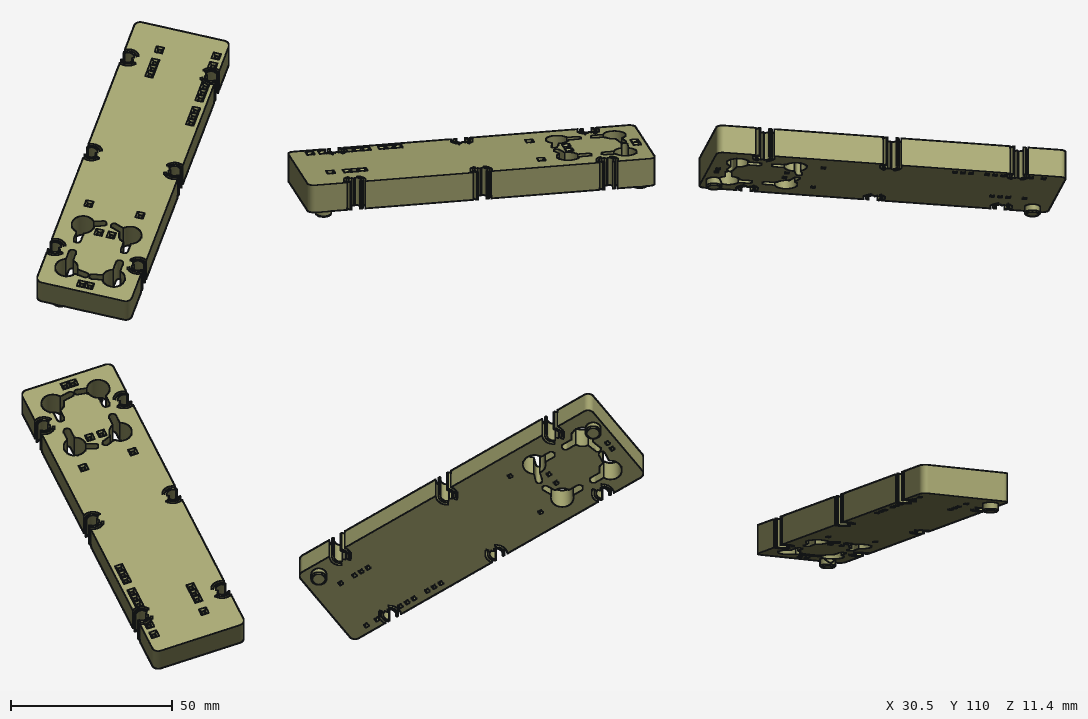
import cadquery as cq
import math

LENGTH = 110.0
WIDTH = 30.5
HEIGHT = 9.0
CORNER_RADIUS = 2.0

CLIP_INSET = 1.9
CLIP_PITCH = 40.0
CLIP_BORE_RADIUS = 2.0
CLIP_MOUTH_WIDTH = 2.6
RELIEF_INNER_RADIUS = 2.6
RELIEF_OUTER_RADIUS = 3.4
RELIEF_END_ANGLE = 28.0
DETENT_HEIGHT = 0.8
DETENT_WIDTH = 1.3

KEYHOLE_X = 7.6
KEYHOLE_MID_Y = -38.0
KEYHOLE_SPACING_Y = 18.2
KEYHOLE_RADIUS = 3.5
SLOT_WIDTH = 2.3
SLOT_REACH = 6.4
UPPER_SIDE_REACH = 6.3
LOWER_SIDE_REACH = 6.6
SIDE_SLOT_WIDTH = 2.0
UPPER_SIDE_ANGLE = 21.0
LOWER_SIDE_ANGLE = -11.0

CONTACT_PITCH = 2.54
FUNNEL_WIDTH = 2.4
FUNNEL_DEPTH = 0.7
CONTACT_HOLE_WIDTH = 1.2
LEFT_COLUMN_X = -5.0
RIGHT_COLUMN_X = 12.6
CONTACT_ROWS = [
    (LEFT_COLUMN_X, 45.8, 1, 0, 0),
    (LEFT_COLUMN_X, 40.6, 3, 0, -CONTACT_PITCH),
    (RIGHT_COLUMN_X, 48.3, 1, 0, 0),
    (RIGHT_COLUMN_X, 44.3, 1, 0, 0),
    (RIGHT_COLUMN_X, 35.5, 3, 0, -CONTACT_PITCH),
    (RIGHT_COLUMN_X, 25.4, 3, 0, -CONTACT_PITCH),
    (-8.2, -20.2, 2, 16.5, 0),
    (-2.0, -30.5, 2, 4.0, 0),
    (-CONTACT_PITCH / 2, -52.0, 2, CONTACT_PITCH, 0),
]

FOOT_RADIUS = 2.4
FOOT_HEIGHT = 2.4
FOOT_CHAMFER = 0.4
FRONT_FOOT_CENTRE = (-8.2, -51.5)
REAR_FOOT_CENTRE = (-11.4, 49.5)


def polar(radius, angle):
    """Point at a radius and an angle in degrees."""
    return (radius * math.cos(math.radians(angle)), radius * math.sin(math.radians(angle)))


def make_block():
    """Plain block with rounded vertical corners."""
    block = cq.Workplane("XY").box(WIDTH, LENGTH, HEIGHT, centered=(True, True, False))
    return block.edges("|Z").fillet(CORNER_RADIUS)


def relief_slot():
    """Arc slot behind one clip arm, running out through the side face."""
    start = RELIEF_END_ANGLE
    end = 180.0
    middle = (start + end) / 2
    return (
        cq.Workplane("XY")
        .moveTo(*polar(RELIEF_INNER_RADIUS, start))
        .threePointArc(polar(RELIEF_INNER_RADIUS, middle), polar(RELIEF_INNER_RADIUS, end))
        .lineTo(*polar(RELIEF_OUTER_RADIUS, end))
        .threePointArc(polar(RELIEF_OUTER_RADIUS, middle), polar(RELIEF_OUTER_RADIUS, start))
        .close()
        .extrude(HEIGHT)
    )


def clip_cutter():
    """Material removed for one clip centred on the origin, its mouth toward -X."""
    bore = cq.Workplane("XY").circle(CLIP_BORE_RADIUS).extrude(HEIGHT)
    detent = (
        cq.Workplane("XY")
        .moveTo(CLIP_BORE_RADIUS - DETENT_HEIGHT, 0)
        .lineTo(CLIP_BORE_RADIUS, DETENT_WIDTH / 2)
        .lineTo(CLIP_BORE_RADIUS, -DETENT_WIDTH / 2)
        .close()
        .extrude(HEIGHT)
    )
    mouth_length = 2 * CLIP_INSET
    mouth = (
        cq.Workplane("XY")
        .center(-mouth_length / 2, 0)
        .rect(mouth_length, CLIP_MOUTH_WIDTH)
        .extrude(HEIGHT)
    )
    upper_relief = relief_slot()
    lower_relief = upper_relief.mirror("XZ")
    return bore.cut(detent).union(mouth).union(upper_relief).union(lower_relief)


def cut_clips(body):
    left_clip = clip_cutter().translate((CLIP_INSET - WIDTH / 2, 0, 0))
    right_clip = left_clip.mirror("YZ")
    for row in (-1, 0, 1):
        offset = (0, row * CLIP_PITCH, 0)
        body = body.cut(left_clip.translate(offset)).cut(right_clip.translate(offset))
    return body


def round_end_slot(width, reach, angle):
    """Slot from the origin to a round end at the given reach and angle."""
    return (
        cq.Workplane("XY")
        .center(reach / 2, 0)
        .slot2D(reach + width, width)
        .extrude(HEIGHT)
        .rotate((0, 0, 0), (0, 0, 1), angle)
    )


def keyhole_cutter(long_slot_angle, side_reach, side_angle):
    """Round hole with a long slot and a side slot, centred on the origin."""
    return (
        cq.Workplane("XY")
        .circle(KEYHOLE_RADIUS)
        .extrude(HEIGHT)
        .union(round_end_slot(SLOT_WIDTH, SLOT_REACH, long_slot_angle))
        .union(round_end_slot(SIDE_SLOT_WIDTH, side_reach, side_angle))
    )


def cut_keyholes(body):
    half_spacing = KEYHOLE_SPACING_Y / 2
    upper = keyhole_cutter(-90, UPPER_SIDE_REACH, UPPER_SIDE_ANGLE)
    upper = upper.translate((-KEYHOLE_X, KEYHOLE_MID_Y + half_spacing, 0))
    lower = keyhole_cutter(90, LOWER_SIDE_REACH, LOWER_SIDE_ANGLE)
    lower = lower.translate((-KEYHOLE_X, KEYHOLE_MID_Y - half_spacing, 0))
    for keyhole in (upper, lower):
        body = body.cut(keyhole).cut(keyhole.mirror("YZ"))
    return body


def contact_cutter():
    """Square funnel at the top face leading into a square through hole."""
    through_hole = cq.Workplane("XY").rect(CONTACT_HOLE_WIDTH, CONTACT_HOLE_WIDTH).extrude(HEIGHT)
    funnel = (
        cq.Workplane("XY", origin=(0, 0, HEIGHT - FUNNEL_DEPTH))
        .rect(CONTACT_HOLE_WIDTH, CONTACT_HOLE_WIDTH)
        .workplane(offset=FUNNEL_DEPTH)
        .rect(FUNNEL_WIDTH, FUNNEL_WIDTH)
        .loft(ruled=True)
    )
    return through_hole.union(funnel)


def cut_contacts(body):
    contact = contact_cutter()
    for first_x, first_y, count, step_x, step_y in CONTACT_ROWS:
        for index in range(count):
            body = body.cut(contact.translate((first_x + index * step_x, first_y + index * step_y, 0)))
    return body


def make_foot(x, y):
    """Round foot hanging below the housing, chamfered at its lower rim."""
    return (
        cq.Workplane("XY", origin=(x, y, 0))
        .circle(FOOT_RADIUS)
        .extrude(-FOOT_HEIGHT)
        .faces("<Z")
        .chamfer(FOOT_CHAMFER)
    )


def keyhole_relief():
    """45 degree cone below the lower left keyhole, narrowing downward from the keyhole's rim."""
    rim_centre = cq.Vector(-KEYHOLE_X, KEYHOLE_MID_Y - KEYHOLE_SPACING_Y / 2, 0)
    down = cq.Vector(0, 0, -1)
    return cq.Workplane(cq.Solid.makeCone(KEYHOLE_RADIUS, 0, KEYHOLE_RADIUS, rim_centre, down))


def make_housing():
    return cut_contacts(cut_keyholes(cut_clips(make_block())))


housing = make_housing()
feet = [make_foot(x, y) for x, y in (FRONT_FOOT_CENTRE, REAR_FOOT_CENTRE)]
feet = [foot.cut(keyhole_relief()) for foot in feet]

result = cq.Compound.makeCompound([housing.val(), *[foot.val() for foot in feet]])